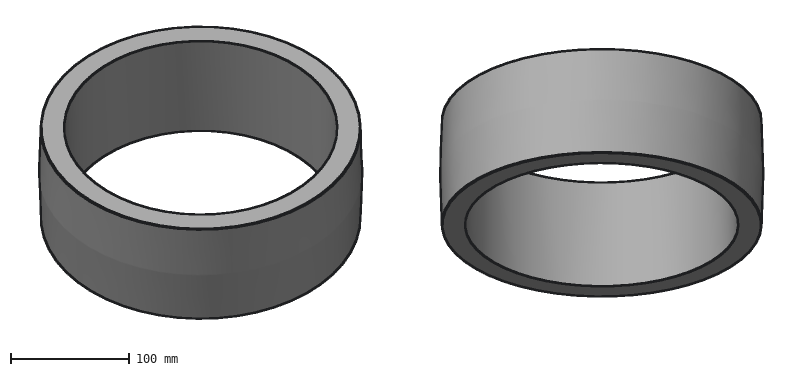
import cadquery as cq

crown_diameter = 273.05
end_diameter = 270.0
bore_diameter = 230.2
height = 98.42
band_width = 0.8
outer_edge_break = 0.65
bore_edge_break = 0.3

crown_radius = crown_diameter / 2
end_radius = end_diameter / 2
bore_radius = bore_diameter / 2
half_height = height / 2
half_band = band_width / 2


def make_ring():
    """Ring with a straight bore and two shallow cones rising to a band at mid height."""
    section = (
        cq.Workplane("XZ")
        .moveTo(-bore_radius, -half_height)
        .lineTo(-end_radius, -half_height)
        .lineTo(-crown_radius, -half_band)
        .lineTo(-crown_radius, half_band)
        .lineTo(-end_radius, half_height)
        .lineTo(-bore_radius, half_height)
        .close()
    )
    return section.revolve(360, (0, 0, 0), (0, 1, 0))


def break_end_edges(ring):
    """Chamfer the outer and bore rims of both end faces."""
    edge_by_radius = cq.selectors.RadiusNthSelector
    for end_face in (">Z", "<Z"):
        ring = ring.faces(end_face).edges(edge_by_radius(-1)).chamfer(outer_edge_break)
        ring = ring.faces(end_face).edges(edge_by_radius(0)).chamfer(bore_edge_break)
    return ring


result = break_end_edges(make_ring())